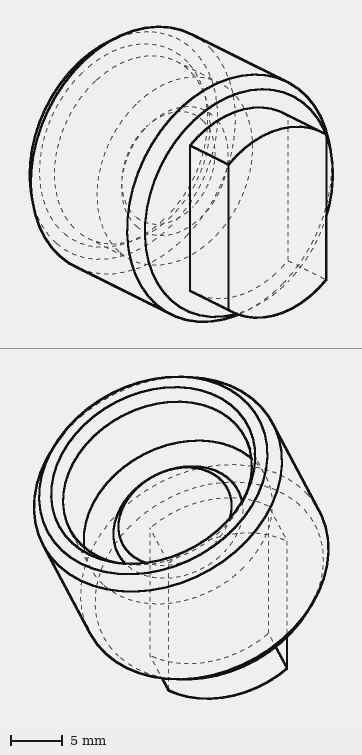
import cadquery as cq

body_diameter = 25.1
body_length = 18.0
body_chamfer_length = 1.5
body_chamfer_depth = 1.0

bore_diameter = 19.1
bore_depth = 8.0
bore_chamfer_length = 1.35
bore_chamfer_depth = 0.775

boss_base_diameter = 13.1
boss_height = 1.0
boss_top_diameter = 11.45

tail_diameter = 19.4
tail_length = 6.0
tail_width = 12.0


def revolve_about_x(points):
    """Revolve a closed (x, radius) outline about the X axis."""
    return cq.Workplane("XZ").polyline(points).close().revolve(360, (0, 0, 0), (1, 0, 0))


def make_body():
    radius = body_diameter / 2
    end_radius = radius - body_chamfer_depth
    return revolve_about_x([
        (0, 0),
        (0, end_radius),
        (body_chamfer_length, radius),
        (body_length - body_chamfer_length, radius),
        (body_length, end_radius),
        (body_length, 0),
    ])


def make_bore():
    radius = bore_diameter / 2
    return revolve_about_x([
        (0, 0),
        (0, radius + bore_chamfer_depth),
        (bore_chamfer_length, radius),
        (bore_depth, radius),
        (bore_depth, 0),
    ])


def make_boss():
    return revolve_about_x([
        (bore_depth - boss_height, 0),
        (bore_depth - boss_height, boss_top_diameter / 2),
        (bore_depth, boss_base_diameter / 2),
        (bore_depth, 0),
    ])


def make_tail():
    tail_plane = cq.Workplane("YZ", origin=(body_length, 0, 0))
    round_bar = tail_plane.circle(tail_diameter / 2).extrude(tail_length)
    flats = tail_plane.rect(tail_width, tail_diameter).extrude(tail_length)
    return round_bar.intersect(flats)


result = make_body().cut(make_bore()).union(make_boss()).union(make_tail())